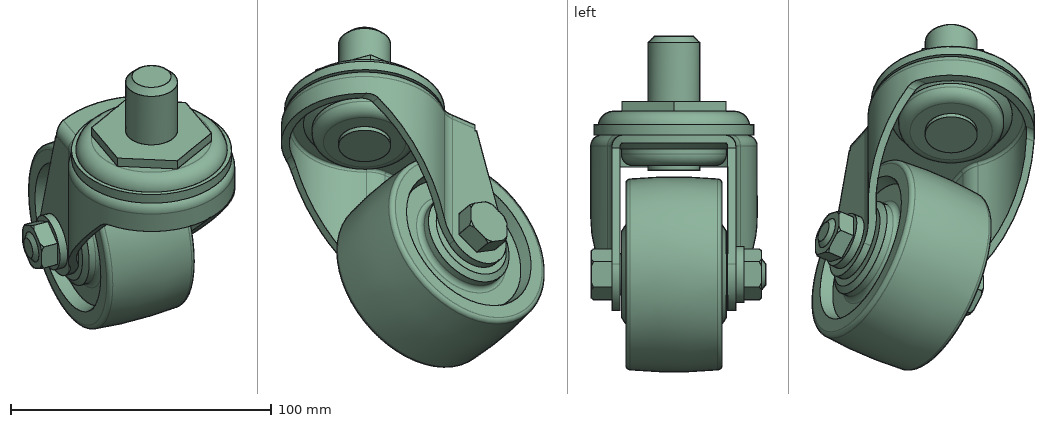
import cadquery as cq
import math


AXLE_X = -36.0
AXLE_Z = -53.5

SHEET = 3.1
BACK_RADIUS = 32.0
LEG_OUTER_Y = 23.75
LEG_INNER_Y = LEG_OUTER_Y - SHEET
FLARE_RADIUS = 8.6
BEND_RADIUS = 4.2
LIP_X = -43.2
LIP_CORNER_X = -35.2
LOBE_RADIUS = 13.9
LEG_TOP_Z = -5.0
BACK_BOTTOM_Z = -12.3
BACK_CORNER_X = 15.8
BACK_CORNER_ROUND = 5.0

RING_RADIUS = 30.75
RING_TOP_Z = 4.0
DOME_BASE_RADIUS = 29.1
DOME_TOP_RADIUS = 23.1
DOME_TOP_Z = 9.2
HEX_FLATS = 40.0
HEX_TOP_Z = 13.0
STEM_RADIUS = 10.0
STEM_LENGTH = 25.0
STEM_CHAMFER = 2.5
CUP_RADIUS = 20.2
CUP_BOTTOM_Z = -11.7
CUP_ROUND = 4.4
CUP_SHOULDER_RADIUS = 23.5
CUP_SHOULDER_BOTTOM_Z = -5.4
RIVET_BOTTOM_Z = -13.5

WHEEL_RADIUS = 37.5
CROWN_DROP = 0.8
TREAD_HALF_WIDTH = 16.8
WHEEL_HALF_WIDTH = 18.5
RIM_FACE_RADIUS = 34.8
RECESS_OUTER_RADIUS = 29.5
RECESS_FLOOR_RADIUS = 28.2
RECESS_FLOOR_Y = 13.6
HUB_RADIUS = 19.1
HUB_BASE_ROUND = 2.1
HUB_FACE_Y = 20.15
HUB_FACE_RADIUS = 16.6
SPACER_RADIUS = 8.0

AXLE_RADIUS = 6.0
AXLE_TIP_RADIUS = 4.0
AXLE_TIP_Y = -35.3
NUT_FLATS = 17.0
NUT_FACE_Y = -33.7
WASHER_RADIUS = 10.8
WASHER_FACE_Y = -27.0
BOLT_HEAD_Y = 31.8
HEX_FACE_RADIUS = 9.0
HEX_CHAMFER = 0.9


def hexagon_diameter(flats):
    return flats / math.cos(math.pi / 6)


def axle_cylinder(radius, y_from, y_to):
    """Cylinder on the axle's axis, between two Y positions."""
    origin = (AXLE_X, y_from, AXLE_Z)
    return cq.Workplane("XZ", origin=origin).circle(radius).extrude(y_from - y_to)


def fork_block(inset):
    """Solid block with the fork's plan outline, shrunk by the inset on the sides and top."""
    back = BACK_RADIUS - inset
    leg_y = LEG_OUTER_Y - inset
    flare = FLARE_RADIUS + inset
    bend = BEND_RADIUS - inset
    front_x = LIP_X - BACK_RADIUS
    bottom_z = AXLE_Z - 2 * LOBE_RADIUS

    flare_x = -math.sqrt((back + flare) ** 2 - (leg_y + flare) ** 2)
    flare_y = leg_y + flare
    join_x = flare_x * back / (back + flare)
    join_y = flare_y * back / (back + flare)
    join_angle = math.atan2(-join_x, join_y)
    mid_x = flare_x + flare * math.sin(join_angle / 2)
    mid_y = flare_y - flare * math.cos(join_angle / 2)

    return (
        cq.Workplane("XY", origin=(0, 0, bottom_z))
        .moveTo(front_x, leg_y)
        .lineTo(flare_x, leg_y)
        .threePointArc((mid_x, mid_y), (join_x, join_y))
        .threePointArc((back, 0), (join_x, -join_y))
        .threePointArc((mid_x, -mid_y), (flare_x, -leg_y))
        .lineTo(front_x, -leg_y)
        .close()
        .extrude(-inset - bottom_z)
        .faces(">Z")
        .edges("not <X")
        .fillet(bend)
    )


def lobe_tangent(x, z, side):
    """Point where the line from (x, z) touches the leg's rounded end, on one side of it."""
    from_axle = math.atan2(z - AXLE_Z, x - AXLE_X)
    distance = math.hypot(x - AXLE_X, z - AXLE_Z)
    angle = from_axle + side * math.acos(LOBE_RADIUS / distance)
    return AXLE_X + LOBE_RADIUS * math.cos(angle), AXLE_Z + LOBE_RADIUS * math.sin(angle)


def fork_side_outline():
    """Side outline of the fork: sloped leg edges running into the rounded leg ends."""
    front_x = LIP_X - SHEET
    rear_x = BACK_RADIUS + SHEET
    outline = (
        cq.Workplane("XZ", origin=(0, BACK_RADIUS, 0))
        .moveTo(front_x, 0)
        .lineTo(front_x, LEG_TOP_Z)
        .lineTo(AXLE_X, LEG_TOP_Z)
        .lineTo(*lobe_tangent(AXLE_X, LEG_TOP_Z, 1))
        .threePointArc(
            (AXLE_X, AXLE_Z - LOBE_RADIUS),
            lobe_tangent(BACK_CORNER_X, BACK_BOTTOM_Z, -1),
        )
        .lineTo(BACK_CORNER_X, BACK_BOTTOM_Z)
        .lineTo(rear_x, BACK_BOTTOM_Z)
        .lineTo(rear_x, 0)
        .close()
        .extrude(2 * BACK_RADIUS)
    )
    corner = cq.selectors.NearestToPointSelector((BACK_CORNER_X, 0, BACK_BOTTOM_Z))
    return outline.edges("|Y").edges(corner).fillet(BACK_CORNER_ROUND)


def fork_lip_outline():
    """Plan outline with the convex front edge of the top plate."""
    return (
        cq.Workplane("XY")
        .moveTo(BACK_RADIUS, LEG_OUTER_Y)
        .lineTo(LIP_CORNER_X, LEG_OUTER_Y)
        .threePointArc((LIP_X, 0), (LIP_CORNER_X, -LEG_OUTER_Y))
        .lineTo(BACK_RADIUS, -LEG_OUTER_Y)
        .close()
        .extrude(LEG_TOP_Z)
    )


def front_trim():
    """Material in front of the top plate's curved edge."""
    length = BACK_RADIUS
    block = cq.Workplane("XY").box(
        length, 2 * LEG_OUTER_Y, -LEG_TOP_Z, centered=(False, True, False)
    )
    return block.translate((LIP_CORNER_X - length, 0, LEG_TOP_Z)).cut(fork_lip_outline())


def make_fork():
    shell = fork_block(0).cut(fork_block(SHEET))
    fork = shell.intersect(fork_side_outline()).cut(front_trim())
    return fork.cut(axle_cylinder(AXLE_RADIUS, LEG_OUTER_Y, -LEG_OUTER_Y))


def make_swivel_head():
    """Ring, dome and stem above the fork; cup and rivet below its top plate."""
    dome_rise = DOME_TOP_Z - RING_TOP_Z
    dome_run = DOME_BASE_RADIUS - DOME_TOP_RADIUS
    dome_round = (dome_rise ** 2 + dome_run ** 2) / (2 * dome_rise)
    dome_half_angle = math.atan2(dome_rise, dome_run)
    dome_mid = (
        DOME_TOP_RADIUS + dome_round * math.sin(dome_half_angle),
        DOME_TOP_Z - dome_round * (1 - math.cos(dome_half_angle)),
    )
    cup_round_mid = CUP_ROUND * (1 - math.sqrt(0.5))
    stem_top_z = HEX_TOP_Z + STEM_LENGTH

    turned = (
        cq.Workplane("XZ")
        .moveTo(0, stem_top_z)
        .lineTo(STEM_RADIUS - STEM_CHAMFER, stem_top_z)
        .lineTo(STEM_RADIUS, stem_top_z - STEM_CHAMFER)
        .lineTo(STEM_RADIUS, DOME_TOP_Z)
        .lineTo(DOME_TOP_RADIUS, DOME_TOP_Z)
        .threePointArc(dome_mid, (DOME_BASE_RADIUS, RING_TOP_Z))
        .lineTo(RING_RADIUS, RING_TOP_Z)
        .lineTo(RING_RADIUS, 0)
        .lineTo(CUP_SHOULDER_RADIUS, 0)
        .lineTo(CUP_SHOULDER_RADIUS, -SHEET)
        .lineTo(CUP_RADIUS, CUP_SHOULDER_BOTTOM_Z)
        .lineTo(CUP_RADIUS, CUP_BOTTOM_Z + CUP_ROUND)
        .threePointArc(
            (CUP_RADIUS - cup_round_mid, CUP_BOTTOM_Z + cup_round_mid),
            (CUP_RADIUS - CUP_ROUND, CUP_BOTTOM_Z),
        )
        .lineTo(STEM_RADIUS, CUP_BOTTOM_Z)
        .lineTo(STEM_RADIUS, RIVET_BOTTOM_Z)
        .lineTo(0, RIVET_BOTTOM_Z)
        .close()
        .revolve(360, (0, 0, 0), (0, 1, 0))
    )
    hexagon = (
        cq.Workplane("XY", origin=(0, 0, DOME_TOP_Z))
        .polygon(6, hexagon_diameter(HEX_FLATS))
        .extrude(HEX_TOP_Z - DOME_TOP_Z)
    )
    return turned.union(hexagon)


def make_tread():
    """Plain disc with a crowned tread and rounded edges, turned about the Y axis."""
    shoulder_radius = WHEEL_RADIUS - CROWN_DROP
    edge_mid_radius = RIM_FACE_RADIUS + (shoulder_radius - RIM_FACE_RADIUS) * math.sqrt(0.5)
    edge_mid_y = TREAD_HALF_WIDTH + (WHEEL_HALF_WIDTH - TREAD_HALF_WIDTH) * math.sqrt(0.5)
    return (
        cq.Workplane("XY")
        .moveTo(0, -WHEEL_HALF_WIDTH)
        .lineTo(RIM_FACE_RADIUS, -WHEEL_HALF_WIDTH)
        .threePointArc((edge_mid_radius, -edge_mid_y), (shoulder_radius, -TREAD_HALF_WIDTH))
        .threePointArc((WHEEL_RADIUS, 0), (shoulder_radius, TREAD_HALF_WIDTH))
        .threePointArc((edge_mid_radius, edge_mid_y), (RIM_FACE_RADIUS, WHEEL_HALF_WIDTH))
        .lineTo(0, WHEEL_HALF_WIDTH)
        .close()
        .revolve(360, (0, 0, 0), (0, 1, 0))
    )


def make_recess():
    """Tapered recess in the +Y side of the wheel."""
    return (
        cq.Workplane("XY")
        .moveTo(0, RECESS_FLOOR_Y)
        .lineTo(RECESS_FLOOR_RADIUS, RECESS_FLOOR_Y)
        .lineTo(RECESS_OUTER_RADIUS, WHEEL_HALF_WIDTH)
        .lineTo(0, WHEEL_HALF_WIDTH)
        .close()
        .revolve(360, (0, 0, 0), (0, 1, 0))
    )


def make_hub():
    """Hub standing on the recess floor at +Y, with a spacer that reaches the fork leg."""
    base_round_mid = HUB_BASE_ROUND * (1 - math.sqrt(0.5))
    return (
        cq.Workplane("XY")
        .moveTo(0, RECESS_FLOOR_Y)
        .lineTo(HUB_RADIUS + HUB_BASE_ROUND, RECESS_FLOOR_Y)
        .threePointArc(
            (HUB_RADIUS + base_round_mid, RECESS_FLOOR_Y + base_round_mid),
            (HUB_RADIUS, RECESS_FLOOR_Y + HUB_BASE_ROUND),
        )
        .lineTo(HUB_RADIUS, WHEEL_HALF_WIDTH)
        .lineTo(HUB_FACE_RADIUS, HUB_FACE_Y)
        .lineTo(SPACER_RADIUS, HUB_FACE_Y)
        .lineTo(SPACER_RADIUS, LEG_INNER_Y)
        .lineTo(0, LEG_INNER_Y)
        .close()
        .revolve(360, (0, 0, 0), (0, 1, 0))
    )


def make_wheel():
    wheel = make_tread()
    recess = make_recess()
    hub = make_hub()
    for side_angle in (0, 180):
        wheel = wheel.cut(recess.rotate((0, 0, 0), (1, 0, 0), side_angle))
        wheel = wheel.union(hub.rotate((0, 0, 0), (1, 0, 0), side_angle))
    wheel = wheel.translate((AXLE_X, 0, AXLE_Z))
    return wheel.cut(axle_cylinder(AXLE_RADIUS, LEG_INNER_Y, -LEG_INNER_Y))


def hexagon_prism(y_inner, y_outer):
    """Nut or bolt head with corners up and down, its corners chamfered at the outer face."""
    corner_radius = hexagon_diameter(NUT_FLATS) / 2
    height = abs(y_outer - y_inner)
    cone_radius = HEX_FACE_RADIUS + (corner_radius - HEX_FACE_RADIUS) * height / HEX_CHAMFER
    prism = (
        cq.Workplane("XZ", origin=(0, y_inner, 0))
        .polygon(6, 2 * corner_radius)
        .extrude(y_inner - y_outer)
        .rotate((0, 0, 0), (0, 1, 0), 30)
    )
    cone = (
        cq.Workplane("XY")
        .moveTo(0, y_inner)
        .lineTo(cone_radius, y_inner)
        .lineTo(HEX_FACE_RADIUS, y_outer)
        .lineTo(0, y_outer)
        .close()
        .revolve(360, (0, 0, 0), (0, 1, 0))
    )
    return prism.intersect(cone).translate((AXLE_X, 0, AXLE_Z))


def make_axle():
    """Bolt with its head at +Y; washer, nut and tapered tip at -Y."""
    tip_taper = AXLE_RADIUS - AXLE_TIP_RADIUS
    tip_length = NUT_FACE_Y - AXLE_TIP_Y
    shank = axle_cylinder(AXLE_RADIUS, LEG_OUTER_Y, AXLE_TIP_Y)
    shank = shank.faces("<Y").chamfer(tip_length, tip_taper)
    washer = axle_cylinder(WASHER_RADIUS, -LEG_OUTER_Y, WASHER_FACE_Y)
    nut = hexagon_prism(WASHER_FACE_Y, NUT_FACE_Y)
    head = hexagon_prism(LEG_OUTER_Y, BOLT_HEAD_Y)
    return shank.union(washer).union(nut).union(head)


bracket = make_fork().union(make_swivel_head())
wheel = make_wheel()
axle = make_axle()

result = cq.Compound.makeCompound(
    [bracket.solids().val(), wheel.solids().val(), axle.solids().val()]
)